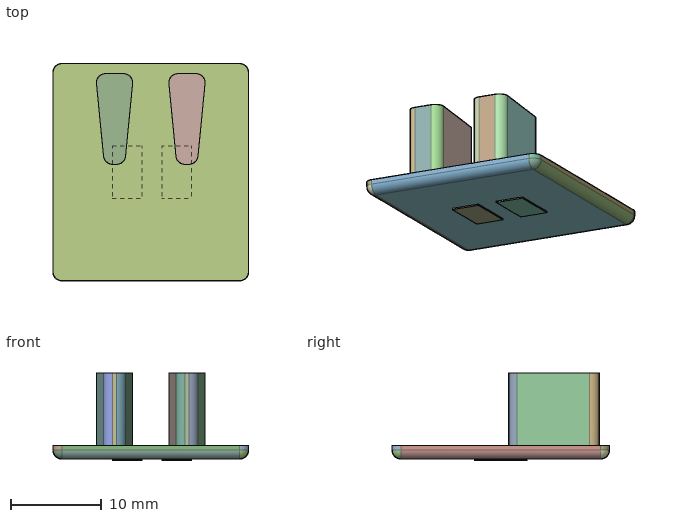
import cadquery as cq

plate_width = 21.6
plate_length = 24.0
plate_thickness = 1.5
corner_radius = 1.0
bottom_edge_radius = 0.98

peg_height = 8.0
peg_length = 10.0
peg_wide_end = 4.2
peg_narrow_end = 2.25
peg_corner_radius = 1.0
peg_spacing = 8.0
peg_edge_gap = 1.13

pad_width = 3.26
pad_length = 5.8
pad_thickness = 0.15
pad_spacing = 5.47
pad_center_x = 0.15


def make_plate():
    """Plate with rounded corners and a rounded lower rim."""
    plate = cq.Workplane("XY").rect(plate_width, plate_length).extrude(-plate_thickness)
    plate = plate.edges("|Z").fillet(corner_radius)
    return plate.faces("<Z").edges().fillet(bottom_edge_radius)


def make_peg(center_x):
    """Tapered peg, wide end towards +Y, with rounded vertical edges."""
    wide_y = plate_length / 2 - peg_edge_gap
    narrow_y = wide_y - peg_length
    outline = [
        (center_x - peg_wide_end / 2, wide_y),
        (center_x + peg_wide_end / 2, wide_y),
        (center_x + peg_narrow_end / 2, narrow_y),
        (center_x - peg_narrow_end / 2, narrow_y),
    ]
    peg = cq.Workplane("XY").polyline(outline).close().extrude(peg_height)
    return peg.edges("|Z").fillet(peg_corner_radius)


def make_pad(center_x):
    """Thin rectangular pad below the plate."""
    return (
        cq.Workplane("XY", origin=(center_x, 0, -plate_thickness))
        .rect(pad_width, pad_length)
        .extrude(-pad_thickness)
    )


result = make_plate()
for side in (-1, 1):
    result = result.union(make_peg(side * peg_spacing / 2))
    result = result.union(make_pad(pad_center_x + side * pad_spacing / 2))